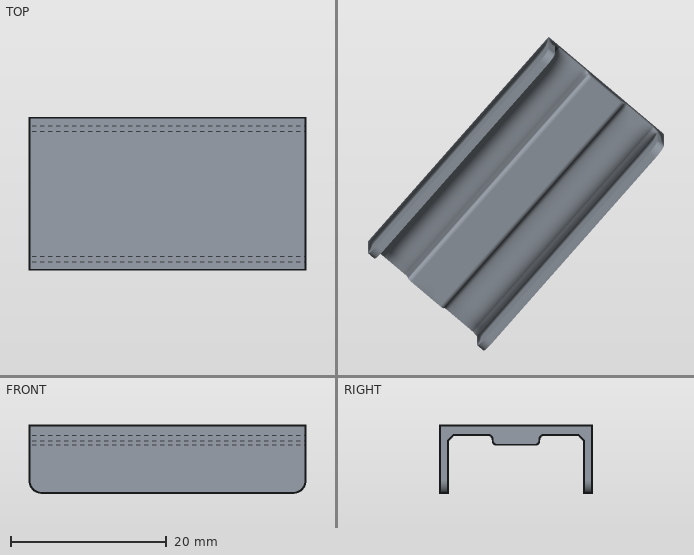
import cadquery as cq

length = 35.5
width = 19.55
height = 8.7

top_thickness = 1.25
wall_thickness = 1.05
inner_chamfer = 0.7
rib_width = 6.05
rib_drop = 1.28
rib_radius = 0.57
corner_radius = 1.65

margin = 0.05

inner_width = width - 2 * wall_thickness
inner_height = height - top_thickness


def centred_box(size_y, size_z, bottom):
    """Full-length box centred on X and Y, with its underside at the given Z."""
    box = cq.Workplane("XY").box(length, size_y, size_z, centered=(True, True, False))
    return box.translate((0, 0, bottom))


opening = centred_box(inner_width, inner_height, 0).edges("|X and >Z").chamfer(inner_chamfer)

rib = centred_box(rib_width, rib_drop, inner_height - rib_drop)
opening = opening.cut(rib)

rib_edges = cq.selectors.BoxSelector(
    (-length, -rib_width / 2 - margin, inner_height - rib_drop - margin),
    (length, rib_width / 2 + margin, inner_height + margin),
)
opening = opening.edges("|X").edges(rib_edges).fillet(rib_radius)

block = centred_box(width, height, 0).edges("|Y and <Z").fillet(corner_radius)

result = block.cut(opening)